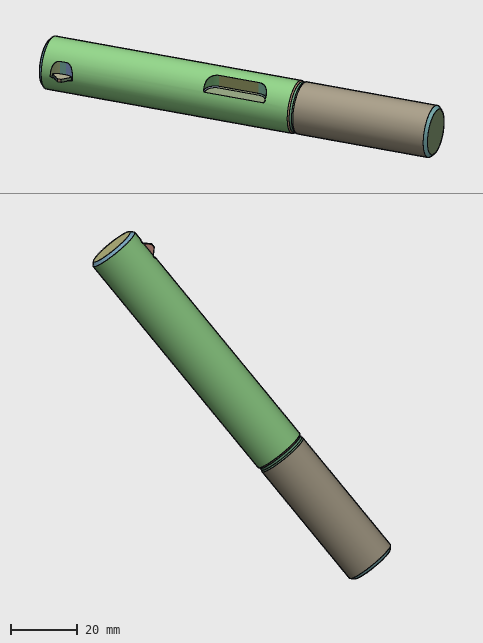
import cadquery as cq

length = 125
overall_depth = 18.0
body_diameter = 16.2
shank_diameter = 16.0
neck_diameter = 15.6
groove_start = 80.2
groove_width = 1.8
groove_flank = 0.5
end_chamfer = 1.0
body_radius = body_diameter / 2

slot_corner_radius = 3.5
notch_corner_radius = 3.0
pocket_floor_chamfer = 0.4
slot_start = 52.9
slot_length = 19.8
slot_floor_z = 3.5
slot_wall_y = -2.9

fin_x = 7.5
fin_thickness = 1.0
fin_tip_y = body_radius - overall_depth
fin_tip_width = 1.2
notch_wall_y = -6.6
notch_flat_width = 2.0


def pocket_cutter(center_x, width, wall_y, floor_z, corner_radius):
    """Rounded-corner pocket with a chamfered floor edge, reaching past the bar surface in -Y and +Z."""
    depth = body_diameter
    return (
        cq.Workplane("XY", origin=(center_x, wall_y - depth / 2, floor_z))
        .rect(width, depth)
        .extrude(body_diameter)
        .edges("|Z and >Y")
        .fillet(corner_radius)
        .faces("<Z")
        .edges()
        .chamfer(pocket_floor_chamfer)
    )


def make_bar():
    """Revolve the half profile of the bar about the X axis."""
    shank_radius = shank_diameter / 2
    neck_radius = neck_diameter / 2
    groove_end = groove_start + groove_width
    profile = [
        (0, 0),
        (0, body_radius - end_chamfer),
        (end_chamfer, body_radius),
        (groove_start, body_radius),
        (groove_start + groove_flank, neck_radius),
        (groove_end - groove_flank, neck_radius),
        (groove_end, shank_radius),
        (length - end_chamfer, shank_radius),
        (length, shank_radius - end_chamfer),
        (length, 0),
    ]
    return cq.Workplane("XY").polyline(profile).close().revolve(360, (0, 0, 0), (1, 0, 0))


def make_fin():
    """Flat fin whose sides converge at 45 degrees to a blunt tip."""
    root_y = notch_wall_y + notch_corner_radius
    tip_half = fin_tip_width / 2
    root_half = tip_half + root_y - fin_tip_y
    return (
        cq.Workplane("XY", origin=(fin_x, 0, -fin_thickness / 2))
        .polyline([(-root_half, root_y), (-tip_half, fin_tip_y), (tip_half, fin_tip_y), (root_half, root_y)])
        .close()
        .extrude(fin_thickness)
    )


slot_center = slot_start + slot_length / 2
slot = pocket_cutter(slot_center, slot_length, slot_wall_y, slot_floor_z, slot_corner_radius)
notch_width = notch_flat_width + 2 * notch_corner_radius
notch = pocket_cutter(fin_x, notch_width, notch_wall_y, -fin_thickness / 2, notch_corner_radius)
result = make_bar().cut(slot).cut(notch).union(make_fin())